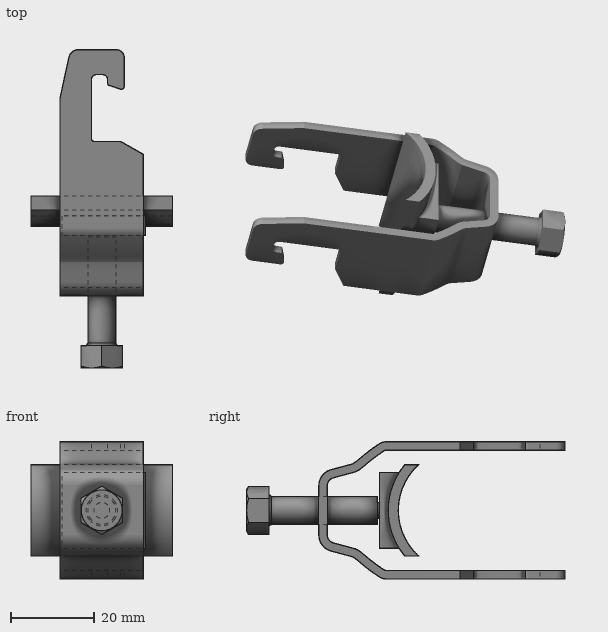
import cadquery as cq
import math


overall_length = 76.5

bracket_width = 20.05
bracket_height = 33.0
arm_tip_y = 59.1
sheet = 2.1
shoulder_start = (16.2, bracket_height / 2)
shoulder_end = (14.5, 16.0)
slope_end = (9.4, 12.1)
neck_end = (8.1, 11.2)
corner_start = (3.0, 9.8)
web_half_height = 5.8

taper_start_y = 47.6
tip_left_x = -7.5
nose_right_x = 5.4
nose_right_y = 49.3
nose_left_x = 1.4
nose_left_y = 50.65
slot_left_x = -2.45
slot_top_y = 53.1
slot_bottom_y = 37.1
ramp_start_x = 4.5
ramp_end_y = 34.0
tip_left_radius = 2.45
tip_right_radius = 2.0
nose_radius = 0.8
nose_inner_radius = 0.5
slot_top_radius = 1.15
slot_bottom_radius = 0.6

saddle_length = 34.0
saddle_height = 21.95
saddle_axis_y = 33.9
saddle_inner_radius = 14.8
saddle_outer_radius = 17.2
pad_width = 20.05
pad_height = 18.3
pad_face_y = 14.5
pad_center_x = 0.5

shank_radius = 3.4
shank_end_y = 14.1
point_radius = 1.9
head_seat_y = -11.9
head_end_y = arm_tip_y - overall_length
head_flats = 10.0
hex_turn = 30
collar_height = 0.6
collar_radius = 3.75
head_face_radius = 4.9
head_chamfer_angle = 30


def along_y(radius, start_y, end_y):
    """Round bar on the bolt axis from start_y to end_y."""
    return cq.Workplane("XZ", origin=(0, start_y, 0)).circle(radius).extrude(start_y - end_y)


def bent_sheet():
    """Strip bent to the clamp profile, running past the arm tips."""
    half_width = bracket_width / 2
    open_end_y = arm_tip_y + 2 * sheet
    outer = (
        cq.Workplane("YZ", origin=(-half_width, 0, 0))
        .moveTo(open_end_y, 0)
        .lineTo(open_end_y, bracket_height / 2)
        .lineTo(*shoulder_start)
        .tangentArcPoint(shoulder_end, relative=False)
        .tangentArcPoint(slope_end, relative=False)
        .tangentArcPoint(neck_end, relative=False)
        .lineTo(*corner_start)
        .tangentArcPoint((0, web_half_height), relative=False)
        .lineTo(0, 0)
        .mirrorX()
    )
    blank = outer.extrude(bracket_width)
    inner = outer.toPending().offset2D(-sheet, "intersection").extrude(bracket_width)
    return blank.cut(inner)


def arm_plan():
    """Block with the plan outline of the hooked arms, full bracket height."""
    half_width = bracket_width / 2
    tip_left = (tip_left_x, arm_tip_y)
    tip_right = (nose_right_x, arm_tip_y)
    nose_right = (nose_right_x, nose_right_y)
    nose_left = (nose_left_x, nose_left_y)
    slot_top_right = (nose_left_x, slot_top_y)
    slot_top_left = (slot_left_x, slot_top_y)
    slot_bottom = (slot_left_x, slot_bottom_y)
    outline = [
        (-half_width, 0),
        (-half_width, taper_start_y),
        tip_left,
        tip_right,
        nose_right,
        nose_left,
        slot_top_right,
        slot_top_left,
        slot_bottom,
        (ramp_start_x, slot_bottom_y),
        (half_width, ramp_end_y),
        (half_width, 0),
    ]
    rounded_corners = [
        (tip_left, tip_left_radius),
        (tip_right, tip_right_radius),
        (nose_right, nose_radius),
        (nose_left, nose_inner_radius),
        (slot_top_right, slot_top_radius),
        (slot_top_left, slot_top_radius),
        (slot_bottom, slot_bottom_radius),
    ]
    plan = cq.Workplane("XY").polyline(outline).close().extrude(bracket_height / 2, both=True)
    for (x, y), radius in rounded_corners:
        plan = plan.edges("|Z").edges(cq.selectors.NearestToPointSelector((x, y, 0))).fillet(radius)
    return plan


def make_bracket():
    bolt_hole = along_y(shank_radius, 0, sheet)
    return bent_sheet().intersect(arm_plan()).cut(bolt_hole)


def make_saddle():
    """Arc-shaped saddle with a flat pad behind it for the bolt to push on."""
    axis = cq.Workplane("YZ", origin=(-saddle_length / 2, saddle_axis_y, 0))
    bore = axis.circle(saddle_inner_radius).extrude(saddle_length)
    window = cq.Workplane("XY").box(saddle_length, saddle_axis_y, saddle_height)
    window = window.translate((0, saddle_axis_y / 2, 0))
    shell = axis.circle(saddle_outer_radius).extrude(saddle_length).intersect(window)
    pad_depth = saddle_axis_y - pad_face_y
    pad = cq.Workplane("XY").box(pad_width, pad_depth, pad_height)
    pad = pad.translate((pad_center_x, pad_face_y + pad_depth / 2, 0))
    pad = pad.cut(axis.circle(saddle_outer_radius).extrude(saddle_length))
    return shell.union(pad).cut(bore)


def make_bolt():
    """Hex bolt whose reduced point rests on the saddle pad."""
    head_corner_radius = head_flats / math.sqrt(3)
    head_height = head_seat_y - head_end_y
    head = (
        cq.Workplane("XZ", origin=(0, head_seat_y, 0))
        .transformed(rotate=(0, 0, hex_turn))
        .polygon(6, 2 * head_corner_radius)
        .extrude(head_height)
    )
    cone_drop = (head_corner_radius - head_face_radius) * math.tan(math.radians(head_chamfer_angle))
    head_limit = (
        cq.Workplane("XY")
        .moveTo(0, head_seat_y)
        .lineTo(head_corner_radius, head_seat_y)
        .lineTo(head_corner_radius, head_end_y + cone_drop)
        .lineTo(head_face_radius, head_end_y)
        .lineTo(0, head_end_y)
        .close()
        .revolve(360, (0, 0, 0), (0, 1, 0))
    )
    shaft = (
        cq.Workplane("XY")
        .moveTo(0, head_seat_y)
        .lineTo(collar_radius, head_seat_y)
        .lineTo(shank_radius, head_seat_y + collar_height)
        .lineTo(shank_radius, shank_end_y)
        .lineTo(point_radius, shank_end_y)
        .lineTo(point_radius, pad_face_y)
        .lineTo(0, pad_face_y)
        .close()
        .revolve(360, (0, 0, 0), (0, 1, 0))
    )
    return head.intersect(head_limit).union(shaft)


bracket = make_bracket()
saddle = make_saddle()
bolt = make_bolt()

result = cq.Compound.makeCompound([body.solids().val() for body in (bracket, saddle, bolt)])